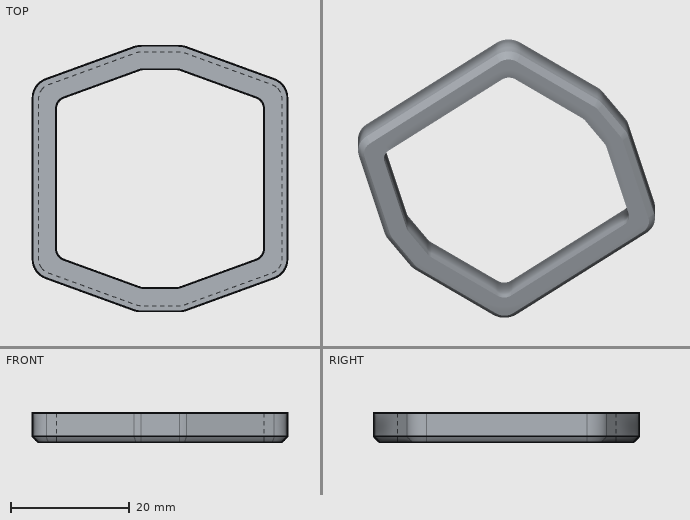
import cadquery as cq
import math

WIDTH = 43.2
LENGTH = 45.0
HEIGHT = 5.0
WALL = 4.0

END_SLOPE = 20.0
OUTER_FLAT = 7.7
OUTER_CORNER_RADIUS = 3.5
INNER_CORNER_RADIUS = 2.0
BOTTOM_CHAMFER = 1.0


def octagon_prism(width, length, end_flat):
    """Elongated octagon with flat ends along Y and straight sides along X."""
    side_x = width / 2
    end_x = end_flat / 2
    end_y = length / 2
    side_y = end_y - (side_x - end_x) * math.tan(math.radians(END_SLOPE))
    outline = [
        (side_x, -side_y),
        (side_x, side_y),
        (end_x, end_y),
        (-end_x, end_y),
        (-side_x, side_y),
        (-side_x, -side_y),
        (-end_x, -end_y),
        (end_x, -end_y),
    ]
    return cq.Workplane("XY").polyline(outline).close().extrude(HEIGHT)


def outer_body():
    body = octagon_prism(WIDTH, LENGTH, OUTER_FLAT)
    body = body.edges("|Z").fillet(OUTER_CORNER_RADIUS)
    return body.faces("<Z").edges().chamfer(BOTTOM_CHAMFER)


def opening():
    flat_loss = WALL * math.tan(math.radians(END_SLOPE / 2))
    inner_flat = OUTER_FLAT - 2 * flat_loss
    hole = octagon_prism(WIDTH - 2 * WALL, LENGTH - 2 * WALL, inner_flat)
    return hole.edges("|Z").fillet(INNER_CORNER_RADIUS)


result = outer_body().cut(opening())